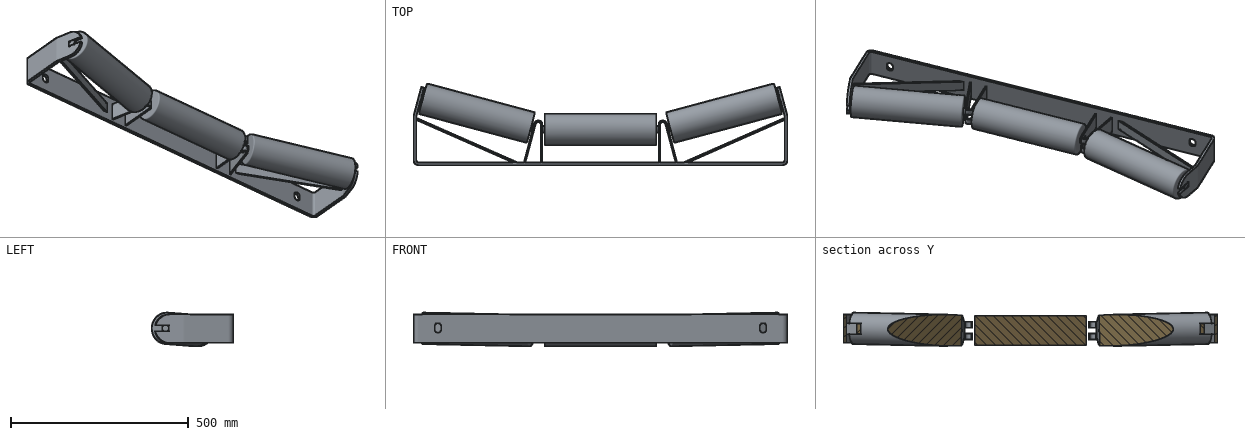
import cadquery as cq
import math


frame_length = 1050.0
frame_height = 80.0
frame_thickness = 8.0
inner_bend = 6.0
tip_bend_y = 140.0
tip_length = 84.0
mount_slot_spacing = 914.0
mount_slot_z = 2.0
mount_slot_width = 19.0
mount_slot_height = 26.0

trough_angle = math.radians(15)
roller_length = 314.0
roller_radius = 89.0 / 2
roller_edge_fillet = 3.0
roller_gap = 6.0
center_roller_y = 101.0
center_roller_z = -5.0
side_roller_outer_z = 1.0
side_roller_drop = 14.0
shaft_radius = 10.0
shaft_flat_width = 16.0
shaft_flat_clearance = 1.0

saddle_sheet = 4.0
saddle_height = 50.0
saddle_inner_bend = 7.0
saddle_top_y = 126.0
strut_thickness = 5.0
strut_height = 30.0
strut_wall_y = 130.0
strut_base_x = -239.0

cos_t = math.cos(trough_angle)
sin_t = math.sin(trough_angle)
across = cq.Vector(cos_t, -sin_t, 0)
lean = cq.Vector(sin_t, cos_t, 0)
z_axis = cq.Vector(0, 0, 1)

half_length = frame_length / 2
wall_inner_x = -half_length + frame_thickness
outer_bend = inner_bend + frame_thickness
tip_bend = cq.Vector(-half_length, tip_bend_y, 0)

saddle_outer_bend = saddle_inner_bend + saddle_sheet
saddle_face_x = -(roller_length / 2 + roller_gap)
saddle_bend = cq.Vector(saddle_face_x - saddle_outer_bend, saddle_top_y - saddle_outer_bend, 0)

side_tilt = math.asin((side_roller_outer_z - center_roller_z) / roller_length)
side_axis = across * math.cos(side_tilt) - z_axis * math.sin(side_tilt)
side_inner_end = (
    saddle_bend
    - across * (saddle_outer_bend + roller_gap)
    - lean * side_roller_drop
    + z_axis * center_roller_z
)
side_plane = cq.Plane(
    origin=side_inner_end - side_axis * roller_length,
    xDir=side_axis,
    normal=side_axis.cross(lean),
)
center_plane = cq.Plane(origin=(-roller_length / 2, center_roller_y, center_roller_z))

tip_gap = (side_plane.origin - tip_bend).dot(across) - frame_thickness
slot_reach = roller_gap + saddle_sheet + saddle_inner_bend


def mirrored(body):
    return body.mirror("YZ")


def extrude_strip(profile, height):
    """Extrude an XY profile symmetrically about Z = 0."""
    return profile.close().extrude(height / 2, both=True)


def shaft_end(gap, sheet):
    """Shaft stub along +X from X = 0: round, then flatted where it sits in a support sheet."""
    length = gap + sheet
    flat_length = sheet + shaft_flat_clearance
    stub = cq.Workplane("YZ").circle(shaft_radius).extrude(length)
    flat_zone = cq.Workplane("YZ").workplane(offset=length - flat_length)
    envelope = flat_zone.rect(2 * shaft_radius, 2 * shaft_radius).extrude(flat_length)
    flatted = flat_zone.rect(2 * shaft_radius, shaft_flat_width).extrude(flat_length)
    return stub.cut(envelope.cut(flatted))


def make_roller(start_gap, start_sheet, plane):
    """Roller with its shaft; the far end always sits in a saddle."""
    shell = cq.Workplane("YZ").circle(roller_radius).extrude(roller_length)
    shell = shell.edges("%CIRCLE").fillet(roller_edge_fillet)
    start = shaft_end(start_gap, start_sheet).mirror("YZ")
    end = shaft_end(roller_gap, saddle_sheet).translate((roller_length, 0, 0))
    roller = shell.union(start).union(end)
    return cq.Workplane(roller.val().moved(plane.location))


def slot_cutter(plane, start_x):
    """Open slot for a shaft end, from start_x along the local axis and upward along local Y."""
    depth = shaft_radius + tip_length
    cutter = cq.Workplane("XY").box(
        slot_reach, depth, shaft_flat_width, centered=(False, False, True)
    ).translate((start_x, -shaft_radius, 0))
    return cq.Workplane(cutter.val().moved(plane.location))


def make_tip():
    """Leaning end plate of the left wall with its full-round end."""
    half = frame_height / 2
    shoulder = tip_length - half
    plane = cq.Plane(origin=tip_bend, xDir=lean, normal=across)
    return (
        cq.Workplane(plane)
        .moveTo(0, -half)
        .lineTo(shoulder, -half)
        .threePointArc((tip_length, 0), (shoulder, half))
        .lineTo(0, half)
        .close()
        .extrude(frame_thickness)
    )


def round_creases(strip, creases, radius):
    """Fillet the Z edges at the given XY points and at their mirror images."""
    for x, y in creases:
        for crease_x in (-x, x):
            crease = cq.selectors.NearestToPointSelector((crease_x, y, 0))
            strip = strip.edges("|Z").edges(crease).fillet(radius)
    return strip


def make_frame():
    channel = extrude_strip(
        cq.Workplane("XY").polyline([
            (-half_length, 0),
            (half_length, 0),
            (half_length, tip_bend_y),
            (-wall_inner_x, tip_bend_y),
            (-wall_inner_x, frame_thickness),
            (wall_inner_x, frame_thickness),
            (wall_inner_x, tip_bend_y),
            (-half_length, tip_bend_y),
        ]),
        frame_height,
    )
    tip = make_tip().cut(slot_cutter(side_plane, -slot_reach))
    strip = channel.union(tip).union(mirrored(tip))

    inner_tip_y = tip_bend_y - frame_thickness * math.tan(trough_angle / 2)
    outer_creases = [(half_length, 0), (half_length, tip_bend_y)]
    inner_creases = [(-wall_inner_x, frame_thickness), (-wall_inner_x, inner_tip_y)]
    strip = round_creases(strip, outer_creases, outer_bend)
    strip = round_creases(strip, inner_creases, inner_bend)

    mount_slots = (
        cq.Workplane("XZ")
        .pushPoints([(side * mount_slot_spacing / 2, mount_slot_z) for side in (-1, 1)])
        .slot2D(mount_slot_height, mount_slot_width, 90)
        .extrude(-frame_thickness)
    )
    return strip.cut(mount_slots)


def make_saddle():
    """Left saddle: a strip folded over, one leg upright and one square to the side roller."""

    def bend_point(radius, angle):
        return saddle_bend + cq.Vector(radius * math.cos(angle), radius * math.sin(angle), 0)

    def leg_foot(point):
        return point - lean * ((point.y - frame_thickness) / cos_t)

    lean_angle = math.pi - trough_angle
    outer_lean = bend_point(saddle_outer_bend, lean_angle)
    inner_lean = bend_point(saddle_inner_bend, lean_angle)
    profile = (
        cq.Workplane("XY")
        .moveTo(saddle_face_x, frame_thickness)
        .lineTo(saddle_face_x, saddle_bend.y)
        .threePointArc(bend_point(saddle_outer_bend, lean_angle / 2), outer_lean)
        .lineTo(*leg_foot(outer_lean).toTuple()[:2])
        .lineTo(*leg_foot(inner_lean).toTuple()[:2])
        .lineTo(inner_lean.x, inner_lean.y)
        .threePointArc(bend_point(saddle_inner_bend, lean_angle / 2), bend_point(saddle_inner_bend, 0))
        .lineTo(saddle_face_x - saddle_sheet, frame_thickness)
    )
    saddle = extrude_strip(profile, saddle_height).translate((0, 0, center_roller_z))
    saddle = saddle.cut(slot_cutter(side_plane, roller_length))
    return saddle.cut(slot_cutter(center_plane, -slot_reach))


def make_strut():
    """Left strut: flat bar from the end wall down to the base, ends trimmed to both faces."""
    slope = math.atan2(strut_wall_y - frame_thickness, strut_base_x - wall_inner_x)
    wall_half = strut_thickness / 2 / math.cos(slope)
    base_half = strut_thickness / 2 / math.sin(slope)
    return extrude_strip(
        cq.Workplane("XY").polyline([
            (wall_inner_x, strut_wall_y - wall_half),
            (strut_base_x - base_half, frame_thickness),
            (strut_base_x + base_half, frame_thickness),
            (wall_inner_x, strut_wall_y + wall_half),
        ]),
        strut_height,
    )


frame = make_frame()
center_roller = make_roller(roller_gap, saddle_sheet, center_plane)
left_bodies = [
    make_roller(tip_gap, frame_thickness, side_plane),
    make_saddle(),
    make_strut(),
]

bodies = [frame, center_roller]
for body in left_bodies:
    bodies.append(body)
    bodies.append(mirrored(body))

result = cq.Compound.makeCompound([body.solids().val() for body in bodies])